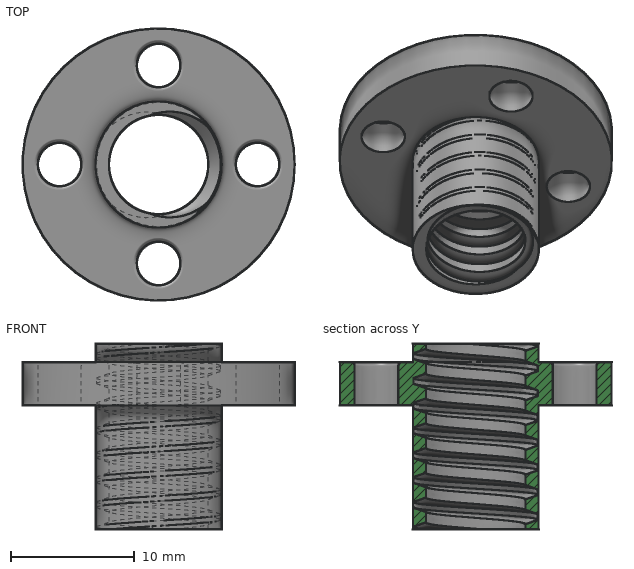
import cadquery as cq
import math

flange_diameter = 22.0
flange_thickness = 3.5
body_diameter = 10.2
total_height = 15.0
boss_height = 1.5
flange_top = total_height - boss_height

bolt_circle_diameter = 16.0
hole_diameter = 3.5
hole_count = 4
hole_edge_radius = 0.3

bore_diameter = 8.0
root_diameter = 10.03
pitch = 2.0
mouth_width = 1.12
root_width = 0.42
bore_overlap = 0.22


def make_flanged_body():
    body = cq.Workplane("XY").circle(body_diameter / 2).extrude(total_height)
    flange = (
        cq.Workplane("XY")
        .workplane(offset=flange_top - flange_thickness)
        .circle(flange_diameter / 2)
        .extrude(flange_thickness)
    )
    return body.union(flange)


def make_mounting_hole_cutter():
    """Through holes whose upper rims flare outward in a convex round."""
    radius = hole_diameter / 2
    flare_radius = radius + hole_edge_radius
    bottom = flange_top - flange_thickness
    arc_offset = hole_edge_radius * (1 - math.sqrt(0.5))
    hole = (
        cq.Workplane("XZ")
        .moveTo(0, bottom)
        .lineTo(radius, bottom)
        .lineTo(radius, flange_top - hole_edge_radius)
        .threePointArc((radius + arc_offset, flange_top - arc_offset), (flare_radius, flange_top))
        .lineTo(0, flange_top)
        .close()
        .revolve(360, (0, 0), (0, 1))
        .val()
    )
    return (
        cq.Workplane("XY")
        .polarArray(bolt_circle_diameter / 2, 0, 360, hole_count)
        .eachpoint(lambda location: hole.moved(location), combine=False)
    )


def make_thread_groove():
    """Helical groove, centred on the +X side at the top face and running out past both ends."""
    turns_below_top = math.ceil(total_height / pitch) + 1
    start_z = total_height - turns_below_top * pitch
    helix_height = (turns_below_top + 1) * pitch
    bore_radius = bore_diameter / 2
    root_radius = root_diameter / 2
    inner_radius = bore_radius - bore_overlap
    flank_slope = (mouth_width - root_width) / (root_radius - bore_radius)
    inner_width = mouth_width + flank_slope * bore_overlap
    helix = cq.Wire.makeHelix(pitch, helix_height, bore_radius, cq.Vector(0, 0, start_z))
    return (
        cq.Workplane("XZ")
        .polyline(
            [
                (inner_radius, start_z - inner_width / 2),
                (root_radius, start_z - root_width / 2),
                (root_radius, start_z + root_width / 2),
                (inner_radius, start_z + inner_width / 2),
            ]
        )
        .close()
        .sweep(cq.Workplane(obj=helix), isFrenet=True)
    )


bore = cq.Workplane("XY").circle(bore_diameter / 2).extrude(total_height)

result = (
    make_flanged_body()
    .cut(make_thread_groove())
    .cut(bore)
    .cut(make_mounting_hole_cutter())
)